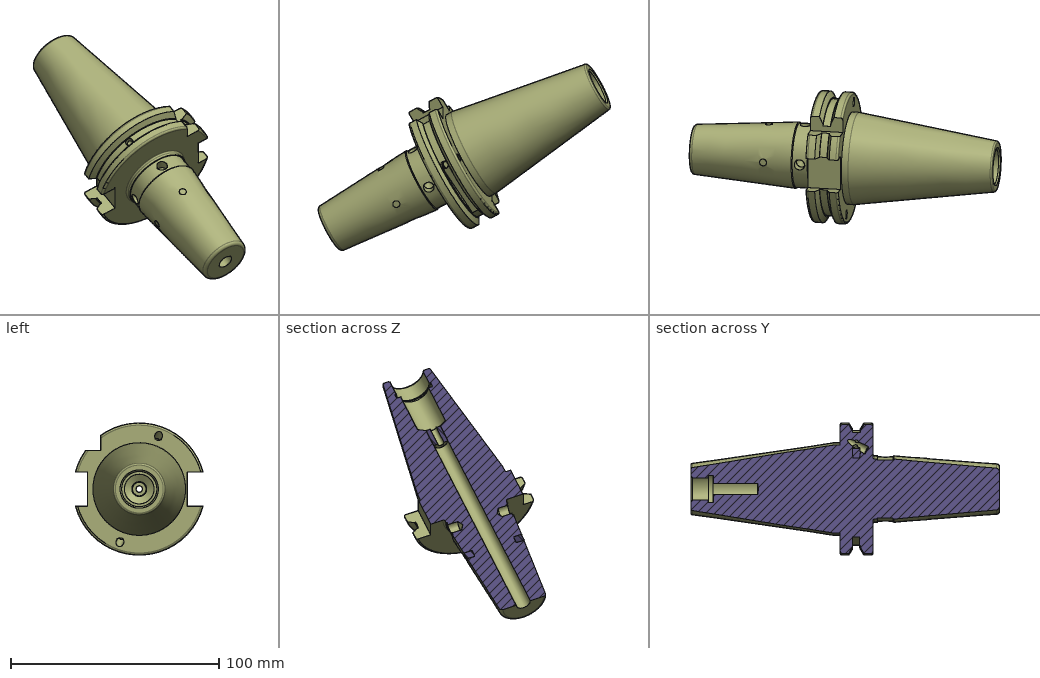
import cadquery as cq
import math

TOTAL_LENGTH = 148.4

GAUGE_X = 68.4
GAUGE_RADIUS = 22.3
TAPER_RATIO = 7 / 24
TAIL_RADIUS = GAUGE_RADIUS - GAUGE_X * TAPER_RATIO / 2
TAIL_FILLET = 0.9

FLANGE_START_X = 71.7
FLANGE_END_X = 87.5
FLANGE_RADIUS = 31.8
FLANGE_FILLET = 1.0
V_CENTER_X = 79.5
V_FLOOR_WIDTH = 3.7
V_MOUTH_WIDTH = 7.1
V_HALF_ANGLE = 30
V_FLOOR_RADIUS = 28.2
V_FLOOR_START_X = V_CENTER_X - V_FLOOR_WIDTH / 2

SLOT_WIDTH = 16.3
FRONT_SLOT_FLOOR = 23.2
BACK_SLOT_FLOOR = 25.0
NOTCH_OFFSET = 18.5

NOSE_RADIUS = 16.0
NOSE_START_X = 97.5
NOSE_HALF_ANGLE = 4.5
NOSE_TIP_RADIUS = NOSE_RADIUS - (TOTAL_LENGTH - NOSE_START_X) * math.tan(math.radians(NOSE_HALF_ANGLE))
NOSE_TIP_FILLET = 1.6
NECK_RADIUS = 15.6
NECK_START_X = 89.6
NECK_CHAMFER = NOSE_RADIUS - NECK_RADIUS
NECK_ROOT_FILLET = 0.7

PILOT_RADIUS = 8.5
PILOT_DEPTH = 8.5
PILOT_CHAMFER = 0.7
UNDERCUT_RADIUS = 9.2
UNDERCUT_DEPTH = 10.7
THREAD_RADIUS = 7.1
THREAD_END_X = 32.0
BORE_RADIUS = 3.5
DRILL_HALF_ANGLE = 59
BORE_START_X = THREAD_END_X + (THREAD_RADIUS - BORE_RADIUS) / math.tan(math.radians(DRILL_HALF_ANGLE))

STOP_SCREW_LENGTH = 10.0
STOP_SCREW_HOLE_RADIUS = 1.5
STOP_SCREW_CHAMFER = 0.3

RADIAL_COUNT = 4
RADIAL_ANGLES = [index * 360 / RADIAL_COUNT for index in range(RADIAL_COUNT)]
BALANCE_X = 93.5
BALANCE_RADIUS = 2.5
BALANCE_DEPTH = 5.0
PLUG_X = 111.5
PLUG_DIAMETER = 3.4
PLUG_RADIUS = PLUG_DIAMETER / 2
PLUG_LENGTH = 4.0

CHANNEL_ANGLES = (20, 200)
CHANNEL_DIAMETER = 3.7
CHANNEL_RADIUS = CHANNEL_DIAMETER / 2
CHANNEL_PITCH_RADIUS = 27.2
CHANNEL_SLOPE = 30
CHANNEL_LENGTH = 14.8
SEAL_HOLE_RADIUS = 1.8
SEAL_HOLE_DEPTH = 11.9
SEAL_HOLE_FLOOR = V_FLOOR_RADIUS - SEAL_HOLE_DEPTH
SEAL_SCREW_LENGTH = 4.5

FLAT_ANGLE = 165
FLAT_DISTANCE = 24.0
FLAT_WIDTH = 3.3


def revolved(profile):
    return profile.close().revolve(360, (0, 0, 0), (1, 0, 0))


def at_angle(body, angle):
    """Turn a body built on +Z about the tool axis."""
    return body.rotate((0, 0, 0), (1, 0, 0), angle)


def radial_cylinder(x, radius, inner, outer):
    """Cylinder along +Z between two distances from the tool axis."""
    return cq.Workplane("XY", origin=(x, 0, inner)).circle(radius).extrude(outer - inner)


def nose_radius_at(x):
    return NOSE_RADIUS - (x - NOSE_START_X) * math.tan(math.radians(NOSE_HALF_ANGLE))


def make_shank():
    shank = revolved(
        cq.Workplane("XY")
        .lineTo(0, TAIL_RADIUS)
        .lineTo(GAUGE_X, GAUGE_RADIUS)
        .lineTo(FLANGE_END_X, GAUGE_RADIUS)
        .lineTo(FLANGE_END_X, 0)
    )
    return shank.faces("<X").edges().fillet(TAIL_FILLET)


def make_flange():
    half_floor = V_FLOOR_WIDTH / 2
    half_mouth = V_MOUTH_WIDTH / 2
    wall_foot = FLANGE_RADIUS - (half_mouth - half_floor) / math.tan(math.radians(V_HALF_ANGLE))
    disc = (
        cq.Workplane("YZ", origin=(FLANGE_START_X, 0, 0))
        .circle(FLANGE_RADIUS)
        .extrude(FLANGE_END_X - FLANGE_START_X)
        .edges()
        .fillet(FLANGE_FILLET)
    )
    groove = revolved(
        cq.Workplane("XY")
        .moveTo(V_CENTER_X - half_floor, V_FLOOR_RADIUS)
        .lineTo(V_CENTER_X - half_floor, wall_foot)
        .lineTo(V_CENTER_X - half_mouth, FLANGE_RADIUS)
        .lineTo(V_CENTER_X + half_mouth, FLANGE_RADIUS)
        .lineTo(V_CENTER_X + half_floor, wall_foot)
        .lineTo(V_CENTER_X + half_floor, V_FLOOR_RADIUS)
    )
    return disc.cut(groove)


def make_groove_flat():
    """Block that planes the groove floor down to a flat, starting at the tail-side wall."""
    block = cq.Workplane("XY").box(
        FLAT_WIDTH, 2 * V_FLOOR_RADIUS, V_FLOOR_RADIUS - FLAT_DISTANCE, centered=(False, True, False)
    )
    return at_angle(block.translate((V_FLOOR_START_X, 0, FLAT_DISTANCE)), FLAT_ANGLE)


def flange_cutter(near_y, far_y, low_z, high_z):
    """Rectangular cutter running the full flange width."""
    width = FLANGE_END_X - FLANGE_START_X
    return cq.Workplane("XY").box(width, far_y - near_y, high_z - low_z, centered=False).translate(
        (FLANGE_START_X, near_y, low_z)
    )


def make_flange_cutters():
    half_slot = SLOT_WIDTH / 2
    front_slot = flange_cutter(-FLANGE_RADIUS, -FRONT_SLOT_FLOOR, -half_slot, half_slot)
    back_slot = flange_cutter(BACK_SLOT_FLOOR, FLANGE_RADIUS, -half_slot, half_slot)
    notch = flange_cutter(NOTCH_OFFSET, FLANGE_RADIUS, NOTCH_OFFSET, FLANGE_RADIUS)
    return [front_slot, back_slot, notch]


def make_nose():
    nose = revolved(
        cq.Workplane("XY")
        .moveTo(FLANGE_END_X, 0)
        .lineTo(FLANGE_END_X, NOSE_RADIUS + NECK_ROOT_FILLET)
        .radiusArc((FLANGE_END_X + NECK_ROOT_FILLET, NOSE_RADIUS), -NECK_ROOT_FILLET)
        .lineTo(NECK_START_X, NOSE_RADIUS)
        .lineTo(NECK_START_X, NECK_RADIUS)
        .lineTo(NOSE_START_X - NECK_CHAMFER, NECK_RADIUS)
        .lineTo(NOSE_START_X, NOSE_RADIUS)
        .lineTo(TOTAL_LENGTH, NOSE_TIP_RADIUS)
        .lineTo(TOTAL_LENGTH, 0)
    )
    return nose.faces(">X").edges().fillet(NOSE_TIP_FILLET)


def make_bore():
    return revolved(
        cq.Workplane("XY")
        .lineTo(0, PILOT_RADIUS + PILOT_CHAMFER)
        .lineTo(PILOT_CHAMFER, PILOT_RADIUS)
        .lineTo(PILOT_DEPTH, PILOT_RADIUS)
        .lineTo(PILOT_DEPTH, UNDERCUT_RADIUS)
        .lineTo(UNDERCUT_DEPTH, UNDERCUT_RADIUS)
        .lineTo(UNDERCUT_DEPTH, THREAD_RADIUS)
        .lineTo(THREAD_END_X, THREAD_RADIUS)
        .lineTo(BORE_START_X, BORE_RADIUS)
        .lineTo(TOTAL_LENGTH, BORE_RADIUS)
        .lineTo(TOTAL_LENGTH, 0)
    )


def make_balance_hole():
    floor = NECK_RADIUS - BALANCE_DEPTH
    straight = radial_cylinder(BALANCE_X, BALANCE_RADIUS, floor, NOSE_RADIUS)
    tip_depth = BALANCE_RADIUS / math.tan(math.radians(DRILL_HALF_ANGLE))
    tip_start = cq.Vector(BALANCE_X, 0, floor)
    tip = cq.Solid.makeCone(BALANCE_RADIUS, 0, tip_depth, tip_start, cq.Vector(0, 0, -1))
    return straight.union(cq.Workplane(tip))


def make_plug():
    outer = nose_radius_at(PLUG_X)
    return radial_cylinder(PLUG_X, PLUG_RADIUS, outer - PLUG_LENGTH, outer)


def make_plug_hole():
    return radial_cylinder(PLUG_X, PLUG_RADIUS, nose_radius_at(PLUG_X) - PLUG_LENGTH, NOSE_RADIUS)


def make_stop_screw():
    blank = (
        cq.Workplane("YZ", origin=(BORE_START_X, 0, 0))
        .circle(BORE_RADIUS)
        .extrude(STOP_SCREW_LENGTH)
        .edges()
        .chamfer(STOP_SCREW_CHAMFER)
    )
    return blank.faces("<X").workplane().hole(2 * STOP_SCREW_HOLE_RADIUS)


def make_sloping_channel():
    slope = math.radians(CHANNEL_SLOPE)
    direction = cq.Vector(math.cos(slope), 0, -math.sin(slope))
    mouth = cq.Vector(FLANGE_START_X, 0, CHANNEL_PITCH_RADIUS)
    start = mouth - direction * CHANNEL_RADIUS
    drill = cq.Solid.makeCylinder(CHANNEL_RADIUS, CHANNEL_LENGTH + CHANNEL_RADIUS, start, direction)
    return cq.Workplane(drill)


def make_seal_hole():
    return radial_cylinder(V_CENTER_X, SEAL_HOLE_RADIUS, SEAL_HOLE_FLOOR, V_FLOOR_RADIUS)


def make_seal_screw():
    return radial_cylinder(V_CENTER_X, SEAL_HOLE_RADIUS, SEAL_HOLE_FLOOR, SEAL_HOLE_FLOOR + SEAL_SCREW_LENGTH)


def make_housing():
    flange = make_flange()
    for cutter in make_flange_cutters():
        flange = flange.cut(cutter)
    housing = make_shank().union(flange).union(make_nose())
    housing = housing.cut(make_bore()).cut(make_groove_flat())
    for angle in RADIAL_ANGLES:
        housing = housing.cut(at_angle(make_balance_hole(), angle))
        housing = housing.cut(at_angle(make_plug_hole(), angle))
    for angle in CHANNEL_ANGLES:
        housing = housing.cut(at_angle(make_sloping_channel(), angle))
        housing = housing.cut(at_angle(make_seal_hole(), angle))
    return housing


housing = make_housing()
stop_screw = make_stop_screw()
plugs = [at_angle(make_plug(), angle) for angle in RADIAL_ANGLES]
seal_screws = [at_angle(make_seal_screw(), angle) for angle in CHANNEL_ANGLES]

result = cq.Compound.makeCompound(
    [
        housing.val(),
        stop_screw.val(),
        *[plug.val() for plug in plugs],
        *[screw.val() for screw in seal_screws],
    ]
)